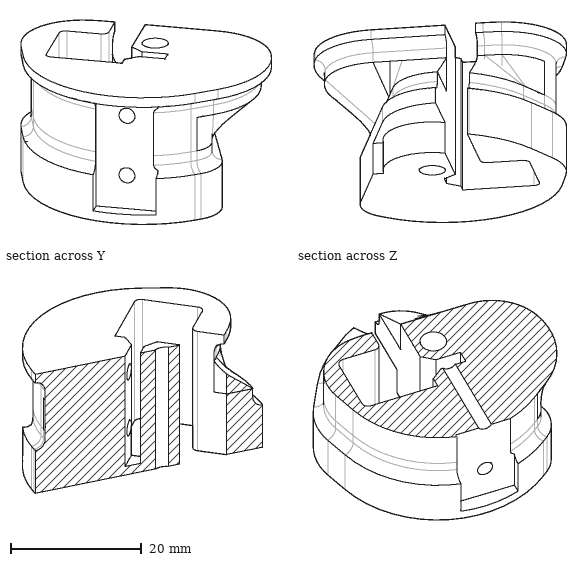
import cadquery as cq
import math


TOTAL_HEIGHT = 20.9
LOWER_FLANGE_TOP = 7.52
GROOVE_RADIUS = 1.58
WALL_HEIGHT = 1.58
TOP_FLANGE_THICKNESS = 1.58
FLOOR_THICKNESS = 1.58
UPPER_FLANGE_BOTTOM = TOTAL_HEIGHT - TOP_FLANGE_THICKNESS
LOWER_GROOVE_TOP = LOWER_FLANGE_TOP + GROOVE_RADIUS
UPPER_GROOVE_BOTTOM = UPPER_FLANGE_BOTTOM - GROOVE_RADIUS
RAMP_BOTTOM = LOWER_GROOVE_TOP + WALL_HEIGHT
RAMP_TOP = UPPER_GROOVE_BOTTOM - WALL_HEIGHT

RIGHT_SIDE = 20.95


def touching_circle(circle, radius, angle):
    """Circle of the given radius that shares the point of circle in the direction of angle."""
    x, y, first_radius = circle
    offset = first_radius - radius
    direction = math.radians(angle)
    return (x + offset * math.cos(direction), y + offset * math.sin(direction), radius)


def right_side_circle(radius, center_y):
    """Circle that touches the straight right side."""
    return (RIGHT_SIDE - radius, center_y, radius)


SOUTH = right_side_circle(18.45, -3.12)
SOUTH_WEST = (-4.6, -10.05, 9.48)
LOWER_EAST = right_side_circle(5.65, -2.1)
LOWER_WEST = (1.9, -1.9, 18.57)
LOWER_SLOT_END = touching_circle(LOWER_WEST, 12.1, 166.8)
LOWER_NORTH_WEST = touching_circle(LOWER_SLOT_END, 9.78, 142.0)
UPPER_EAST = right_side_circle(14.3, 0.7)
UPPER_NORTH = touching_circle(UPPER_EAST, 10.53, 70.7)
UPPER_WEST = touching_circle(SOUTH_WEST, 22.55, 149.0)

LOWER_OUTLINE = [SOUTH, LOWER_EAST, LOWER_NORTH_WEST, LOWER_SLOT_END, LOWER_WEST, SOUTH_WEST]
UPPER_OUTLINE = [SOUTH, UPPER_EAST, UPPER_NORTH, UPPER_WEST, SOUTH_WEST]

SLOT_ANGLE = -38.1
SLOT_SOUTH = -7.9
SLOT_NORTH = -3.15
WINDOW_WEST = -1.75
WINDOW_EAST = 9.0
WINDOW_SOUTH = -15.23
WINDOW_CORNER_RADIUS = 1.0
NOTCH_WEST = 3.85
NOTCH_WIDTH = 2.0
NOTCH_MOUTH = -1.2
NOTCH_END = 2.85
MOUTH_FLARE = 1.55
RECESS_FACE = 19.93
RECESS_CENTER = 0.13
RECESS_WIDTH = 9.7
AXLE_BORE_DIAMETER = 4.0
PEG_HOLE_DIAMETER = 2.5
PEG_HOLE_HEIGHTS = [7.05, 16.9]
CLEARANCE_HEIGHT = 5.0
AXLE_BOSS_RADIUS = 7.52
REACH = 37.6

SHORTEST_SIDE = 0.005

WEST_RAMP_SPLITS = [0.13, 0.61, 0.71]
SOUTH_WEST_SPLITS = [0.1]
NORTH_RAMP_SPLITS = [0.3, 0.95]


def circle_point(circle, angle, inset):
    x, y, radius = circle
    return cq.Vector(x + (radius - inset) * math.cos(angle), y + (radius - inset) * math.sin(angle))


def tangent_normal(first, second):
    """Direction of the outward normal where two circles of an outline share a tangent."""
    dx = second[0] - first[0]
    dy = second[1] - first[1]
    cosine = (first[2] - second[2]) / math.hypot(dx, dy)
    return math.atan2(dy, dx) - math.acos(max(-1.0, min(1.0, cosine)))


def arc_between(circle, start, end, inset):
    """Start, middle and end of the counterclockwise arc between two normal directions."""
    sweep = (end - start) % (2 * math.pi)
    return [circle_point(circle, start + part * sweep, inset) for part in (0, 0.5, 1)]


def arc_points(previous, circle, following, inset):
    """Arc that a circle adds to a counterclockwise outline, between its two neighbours."""
    return arc_between(circle, tangent_normal(previous, circle), tangent_normal(circle, following), inset)


def line(start, end):
    return cq.Edge.makeLine(start, end)


def arc(points):
    return cq.Edge.makeThreePointArc(*points)


def divide(start, end, fractions):
    """Straight edges from start to end, divided at the fractions of its length."""
    points = [start] + [start + (end - start) * part for part in fractions] + [end]
    return [line(a, b) for a, b in zip(points, points[1:])]


def outline(circles, inset):
    """Closed counterclockwise wire around the circles at Z = 0."""
    arcs = [
        arc_points(circles[i - 1], circle, circles[(i + 1) % len(circles)], inset)
        for i, circle in enumerate(circles)
    ]
    edges = []
    for i, points in enumerate(arcs):
        edges.append(arc(points))
        next_start = arcs[(i + 1) % len(arcs)][0]
        if (next_start - points[2]).Length > SHORTEST_SIDE:
            edges.append(line(points[2], next_start))
    return cq.Wire.assembleEdges(edges)


def at_height(wire, height):
    return wire.translate(cq.Vector(0, 0, height))


def prism(wire, bottom, top):
    face = cq.Face.makeFromWires(at_height(wire, bottom))
    return cq.Workplane(cq.Solid.extrudeLinear(face, cq.Vector(0, 0, top - bottom)))


SLOT_PLANE = cq.Plane.XY().rotated((0, 0, SLOT_ANGLE))


def slot_box(west, east, south, north, bottom, top):
    return (
        cq.Workplane(SLOT_PLANE)
        .box(east - west, north - south, top - bottom, centered=False)
        .translate(SLOT_PLANE.toWorldCoords((west, south, bottom)))
    )


def slot_and_window():
    notch_east = NOTCH_WEST + NOTCH_WIDTH
    profile = [
        (-REACH, SLOT_SOUTH),
        (WINDOW_WEST, SLOT_SOUTH),
        (WINDOW_WEST, WINDOW_SOUTH),
        (WINDOW_EAST, WINDOW_SOUTH),
        (WINDOW_EAST, SLOT_NORTH),
        (notch_east + MOUTH_FLARE, SLOT_NORTH),
        (notch_east, NOTCH_MOUTH),
        (NOTCH_WEST, NOTCH_MOUTH),
        (NOTCH_WEST - MOUTH_FLARE, SLOT_NORTH),
        (-REACH, SLOT_NORTH),
    ]
    tool = cq.Workplane(SLOT_PLANE).polyline(profile).close().extrude(TOTAL_HEIGHT)
    for corner in [profile[1], profile[2], profile[3]]:
        x, y, _ = SLOT_PLANE.toWorldCoords(corner).toTuple()
        near = cq.selectors.NearestToPointSelector((x, y, TOTAL_HEIGHT / 2))
        tool = tool.edges("|Z").edges(near).fillet(WINDOW_CORNER_RADIUS)
    return tool


def peg_notch():
    east = NOTCH_WEST + NOTCH_WIDTH
    return slot_box(NOTCH_WEST, east, NOTCH_MOUTH, NOTCH_END, FLOOR_THICKNESS, TOTAL_HEIGHT)


def side_recess():
    half_width = RECESS_WIDTH / 2
    south = RECESS_CENTER - half_width
    north = RECESS_CENTER + half_width
    return slot_box(RECESS_FACE, REACH, south, north, FLOOR_THICKNESS, UPPER_FLANGE_BOTTOM)


def peg_hole(height):
    """Hole along u from the peg notch to the side recess."""
    start = SLOT_PLANE.toWorldCoords((NOTCH_WEST + NOTCH_WIDTH / 2, RECESS_CENTER, height))
    length = RECESS_FACE - NOTCH_WEST
    return cq.Workplane(cq.Solid.makeCylinder(PEG_HOLE_DIAMETER / 2, length, start, SLOT_PLANE.xDir))


def axle_bore():
    return cq.Workplane().circle(AXLE_BORE_DIAMETER / 2).extrude(TOTAL_HEIGHT)


def underside_clearance():
    boss = cq.Workplane().circle(AXLE_BOSS_RADIUS).extrude(CLEARANCE_HEIGHT)
    return slot_box(-REACH, 0, SLOT_NORTH, REACH, 0, CLEARANCE_HEIGHT).cut(boss)


def groove(wire, height):
    """Round bar along an outline that hollows the foot of a neck wall."""
    path = at_height(wire, height)
    start = path.startPoint()
    tangent = path.tangentAt(0)
    return cq.Workplane(cq.Plane(start, normal=tangent)).circle(GROOVE_RADIUS).sweep(cq.Workplane(path))


lower_outer = outline(LOWER_OUTLINE, 0)
upper_outer = outline(UPPER_OUTLINE, 0)
lower_wall = outline(LOWER_OUTLINE, GROOVE_RADIUS)
upper_wall = outline(UPPER_OUTLINE, GROOVE_RADIUS)


def neck():
    """Part of the neck that lies inside both outlines."""
    upper = prism(upper_wall, RAMP_BOTTOM, RAMP_TOP)
    return upper.intersect(prism(lower_wall, RAMP_BOTTOM, RAMP_TOP))


def make_cam():
    lower = prism(lower_outer, 0, LOWER_GROOVE_TOP).cut(groove(lower_outer, LOWER_GROOVE_TOP))
    lower = lower.union(prism(lower_wall, LOWER_GROOVE_TOP, RAMP_BOTTOM), clean=False)
    upper = prism(upper_outer, UPPER_GROOVE_BOTTOM, TOTAL_HEIGHT)
    upper = upper.cut(groove(upper_outer, UPPER_GROOVE_BOTTOM))
    wall = prism(upper_wall, RAMP_TOP, UPPER_GROOVE_BOTTOM).union(neck())
    cam = lower.union(wall, clean=False).union(upper, clean=False)
    tools = [slot_and_window(), peg_notch(), side_recess(), axle_bore(), underside_clearance()]
    tools += [peg_hole(height) for height in PEG_HOLE_HEIGHTS]
    for tool in tools:
        cam = cam.cut(tool, clean=False)
    return cam


def crossing_point():
    """Where the straight north sides of the two neck walls cross."""
    lower_angle = tangent_normal(LOWER_EAST, LOWER_NORTH_WEST)
    upper_angle = tangent_normal(UPPER_NORTH, UPPER_WEST)
    lower = circle_point(LOWER_NORTH_WEST, lower_angle, GROOVE_RADIUS)
    upper = circle_point(UPPER_NORTH, upper_angle, GROOVE_RADIUS)
    lower_normal = cq.Vector(math.cos(lower_angle), math.sin(lower_angle))
    upper_side = cq.Vector(-math.sin(upper_angle), math.cos(upper_angle))
    distance = (lower - upper).dot(lower_normal) / upper_side.dot(lower_normal)
    return upper + upper_side * distance


def ruled_ramp(lower_edges, upper_edges):
    """Material between matching edges at the ramp bottom and top, outside the neck."""
    lower = at_height(cq.Wire.assembleEdges(lower_edges), RAMP_BOTTOM)
    upper = at_height(cq.Wire.assembleEdges(upper_edges), RAMP_TOP)
    return cq.Workplane(cq.Solid.makeLoft([lower, upper], True)).cut(neck())


def make_west_ramps():
    """Two ramps, one each side of the slot, where the lower wall runs outside the upper one."""
    crossing = crossing_point()
    north_west = arc_points(LOWER_EAST, LOWER_NORTH_WEST, LOWER_SLOT_END, GROOVE_RADIUS)
    slot_end = arc_points(LOWER_NORTH_WEST, LOWER_SLOT_END, LOWER_WEST, GROOVE_RADIUS)
    west = arc_points(LOWER_SLOT_END, LOWER_WEST, SOUTH_WEST, GROOVE_RADIUS)
    upper_west = arc_points(UPPER_NORTH, UPPER_WEST, SOUTH_WEST, GROOVE_RADIUS)
    upper_south = arc_between(
        SOUTH_WEST,
        tangent_normal(UPPER_WEST, SOUTH_WEST),
        tangent_normal(LOWER_WEST, SOUTH_WEST),
        GROOVE_RADIUS,
    )
    meeting = upper_south[2]
    chord = line(meeting, crossing)
    lower_edges = [line(crossing, north_west[0]), arc(north_west), arc(slot_end), arc(west)]
    lower_edges += divide(west[2], meeting, SOUTH_WEST_SPLITS)
    upper_edges = divide(crossing, upper_west[0], WEST_RAMP_SPLITS)
    upper_edges += [arc(upper_west), arc(upper_south)]
    return ruled_ramp(lower_edges + [chord], upper_edges + [chord]).cut(slot_and_window())


def make_north_ramp():
    """Ramp under the upper wall where it runs outside the lower one."""
    crossing = crossing_point()
    lower_east = arc_points(SOUTH, LOWER_EAST, LOWER_NORTH_WEST, GROOVE_RADIUS)
    upper_east = arc_points(SOUTH, UPPER_EAST, UPPER_NORTH, GROOVE_RADIUS)
    upper_north = arc_points(UPPER_EAST, UPPER_NORTH, UPPER_WEST, GROOVE_RADIUS)
    meeting = lower_east[0]
    chord = line(crossing, meeting)
    lower_edges = [arc(lower_east)] + divide(lower_east[2], crossing, NORTH_RAMP_SPLITS) + [chord]
    upper_edges = [
        line(meeting, upper_east[0]),
        arc(upper_east),
        arc(upper_north),
        line(upper_north[2], crossing),
        chord,
    ]
    return ruled_ramp(lower_edges, upper_edges)


cam = make_cam()
west_ramps = make_west_ramps()
north_ramp = make_north_ramp()

result = cq.Compound.makeCompound(
    [*cam.solids().vals(), *west_ramps.solids().vals(), *north_ramp.solids().vals()]
)